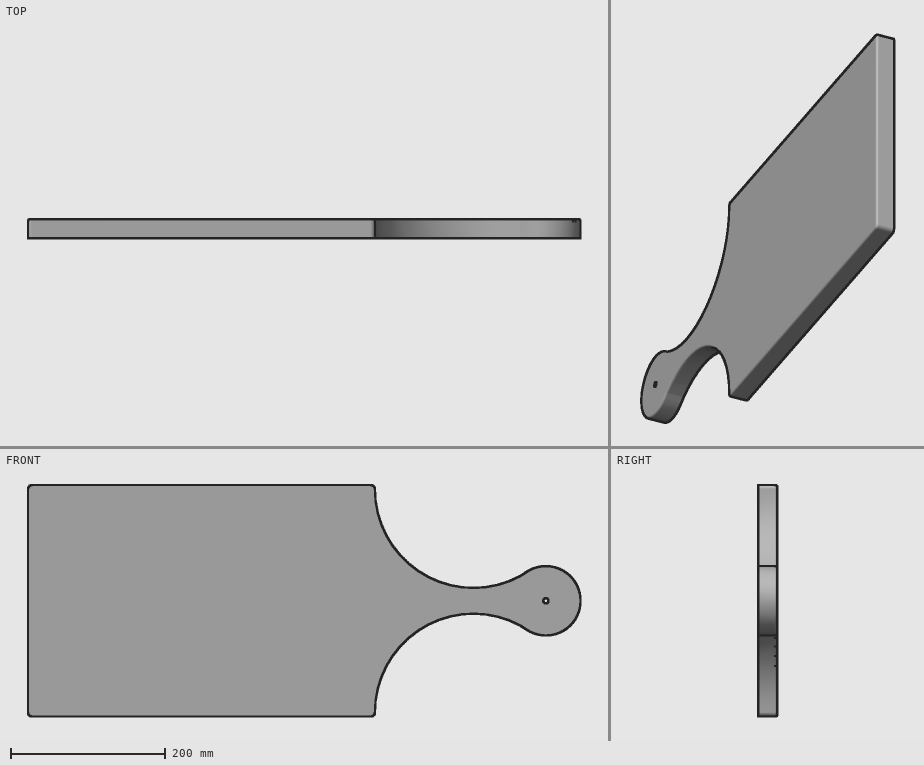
import cadquery as cq
import math

total_length = 716.0
board_length = 450.0
board_height = 300.0
thickness = 25.0
corner_radius = 5.6
edge_radius = 3.0

neck_half_width = 16.8
neck_radius = 127.5
neck_end_x = 638.0
head_radius = 45.0
head_start_x = 645.0
hole_diameter = 6.5

half_height = board_height / 2
neck_x = board_length + neck_radius
neck_z = neck_half_width + neck_radius
head_x = total_length - head_radius


def neck_height(x):
    """Half-height of the handle along the concave neck arc."""
    return neck_z - math.sqrt(neck_radius**2 - (x - neck_x) ** 2)


def mirrored(point):
    """Reflect a point across the long axis of the board."""
    return (point[0], -point[1])


neck_start = (board_length, neck_z)
neck_middle = (neck_x, neck_half_width)
neck_end = (neck_end_x, neck_height(neck_end_x))
head_start = (head_start_x, math.sqrt(head_radius**2 - (head_start_x - head_x) ** 2))


def make_board():
    """Board and handle outline, centred on Y, with rounded corners and a rounded back edge."""
    board = (
        cq.Workplane("XZ")
        .moveTo(0, -half_height)
        .lineTo(0, half_height)
        .lineTo(board_length, half_height)
        .lineTo(*neck_start)
        .threePointArc(neck_middle, neck_end)
        .lineTo(*head_start)
        .threePointArc((total_length, 0), mirrored(head_start))
        .lineTo(*mirrored(neck_end))
        .threePointArc(mirrored(neck_middle), mirrored(neck_start))
        .lineTo(board_length, -half_height)
        .close()
        .extrude(thickness / 2, both=True)
    )
    board = board.edges("|Y and (<X or >Z or <Z)").fillet(corner_radius)
    return board.faces(">Y").edges().fillet(edge_radius)


hanging_hole = (
    cq.Workplane("XZ")
    .center(head_x, 0)
    .circle(hole_diameter / 2)
    .extrude(thickness, both=True)
)

result = make_board().cut(hanging_hole)